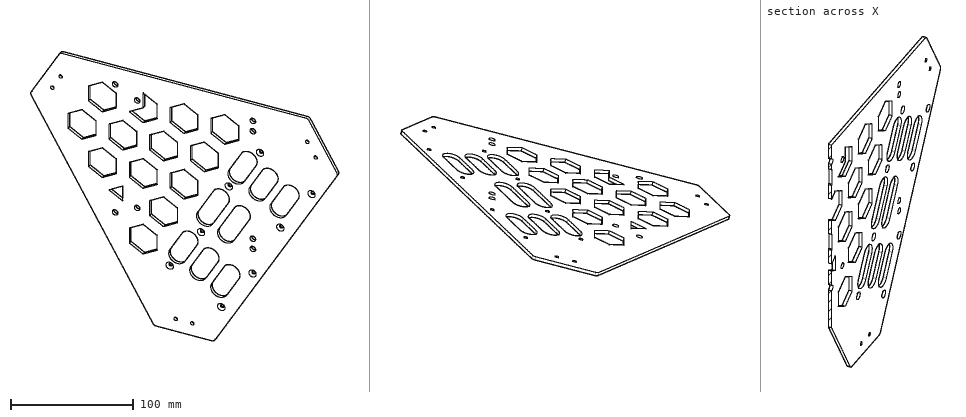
import cadquery as cq
import math

THICKNESS = 3.0
HEIGHT = 241.9
SIDE_DISTANCE = 96.3
CUT_DISTANCE = HEIGHT - SIDE_DISTANCE
CUT_HALF_LENGTH = (2 * SIDE_DISTANCE - CUT_DISTANCE) * math.tan(math.radians(30))
CORNER_RADIUS = 3.0
CORNER_ANGLES = (30, 150, 270)

PAIR_DISTANCE = 133.5
PAIR_SPACING = 15.0
PAIR_DIAMETER = 3.0

HEX_WIDTH = 25.0
HEX_RADIUS = HEX_WIDTH / math.sqrt(3)
HEX_PITCH = 37.0
HEX_ROW_PITCH = HEX_PITCH * math.sqrt(3) / 2
FULL_HEXAGONS = (
    (-2, 2), (0, 2), (1, 2),
    (-2.5, 1), (-1.5, 1), (-0.5, 1), (0.5, 1),
    (-2, 0), (-1, 0), (0, 0),
    (-0.5, -1),
    (-1, -2),
)
NOTCHED_HEXAGON = (-1, 2)
TRIANGLE_WINDOW = (-1.5, -1)

MOUNT_CENTRE_Z = 17.3
MOUNT_LARGE_SPACING = 125.0
MOUNT_SMALL_SPACING = 105.0
MOUNT_DIAMETER = 5.0

SIDE_ANGLE = 60
SLOT_WIDTH = 15.5
SLOT_LENGTH = 37.3
LONG_SLOT_LENGTH = 43.7
SLOT_FIRST_OUT = 30.3
SLOT_PITCH = 22.0
SLOT_ROW_PITCH = 53.7

SCREW_BOARD_PITCH = 107.1
SCREW_ROW_SPACING = 49.5
SCREW_SPACING = 54.0
SCREW_UPPER_ROW_OUT = 34.5
SCREW_LOWER_ROW_OUT = 30.3
SCREW_DIAMETER = 3.0
SCREW_HEAD_DIAMETER = 6.7
SCREW_HEAD_ANGLE = 90


def polar(distance, angle, sideways=0.0):
    """Point at a distance along an angle, then offset sideways to the left of it."""
    a = math.radians(angle)
    x = distance * math.cos(a) - sideways * math.sin(a)
    z = distance * math.sin(a) + sideways * math.cos(a)
    return x, z


def side_point(along, out):
    """Point in the frame of the lower right side."""
    return polar(along, SIDE_ANGLE, -out)


def front_plane():
    """Sketch plane on the front face; its normal points out of the plate to -Y."""
    return cq.Workplane("XZ", origin=(0, -THICKNESS / 2, 0))


def cutter(sketch):
    """Prism through the full thickness from a sketch on the front plane."""
    return sketch.extrude(-THICKNESS)


def make_plate():
    outline = []
    for angle in CORNER_ANGLES:
        for side in (-1, 1):
            outline.append(polar(CUT_DISTANCE, angle, side * CUT_HALF_LENGTH))
    plate = cutter(front_plane().polyline(outline).close())
    return plate.edges("|Y").fillet(CORNER_RADIUS)


def hexagon_centre(column, row):
    return column * HEX_PITCH, row * HEX_ROW_PITCH


def hexagon_corner(cell, angle):
    x, z = hexagon_centre(*cell)
    dx, dz = polar(HEX_RADIUS, angle)
    return x + dx, z + dz


def hexagon_window(cell):
    corners = [hexagon_corner(cell, angle) for angle in range(30, 390, 60)]
    return cutter(front_plane().polyline(corners).close())


def partial_hexagon_window(cell, first_angle, last_angle):
    """Part of a hexagon swept from one corner to another, closed through its centre."""
    corners = [hexagon_corner(cell, angle) for angle in range(first_angle, last_angle + 1, 60)]
    return cutter(front_plane().polyline([hexagon_centre(*cell)] + corners).close())


def cut_honeycomb(plate):
    for cell in FULL_HEXAGONS:
        plate = plate.cut(hexagon_window(cell))
    plate = plate.cut(partial_hexagon_window(NOTCHED_HEXAGON, 210, 450))
    return plate.cut(partial_hexagon_window(TRIANGLE_WINDOW, 90, 150))


def cut_round_holes(plate, points, diameter):
    return plate.cut(cutter(front_plane().pushPoints(points).circle(diameter / 2)))


def corner_pair_points():
    return [
        polar(PAIR_DISTANCE, angle, side * PAIR_SPACING / 2)
        for angle in CORNER_ANGLES
        for side in (-1, 1)
    ]


def mount_points():
    """Both hole squares, lined up on their right-hand holes."""
    right = MOUNT_LARGE_SPACING / 2
    points = []
    for spacing in (MOUNT_LARGE_SPACING, MOUNT_SMALL_SPACING):
        for x in (right - spacing, right):
            for side in (-1, 1):
                points.append((x, MOUNT_CENTRE_Z + side * spacing / 2))
    return points


def cut_slots(plate):
    rows = ((1, 3, SLOT_LENGTH), (0, 2, LONG_SLOT_LENGTH), (-1, 3, SLOT_LENGTH))
    for row, count, length in rows:
        points = [
            side_point(row * SLOT_ROW_PITCH, SLOT_FIRST_OUT + index * SLOT_PITCH)
            for index in range(count)
        ]
        sketch = front_plane().pushPoints(points).slot2D(length, SLOT_WIDTH, SIDE_ANGLE)
        plate = plate.cut(cutter(sketch))
    return plate


def cut_screw_holes(plate):
    points = []
    for board in (-1, 1):
        for row, first_out in ((1, SCREW_UPPER_ROW_OUT), (-1, SCREW_LOWER_ROW_OUT)):
            along = board * SCREW_BOARD_PITCH / 2 + row * SCREW_ROW_SPACING / 2
            points.append(side_point(along, first_out))
            points.append(side_point(along, first_out + SCREW_SPACING))
    return front_plane().add(plate).pushPoints(points).cskHole(
        SCREW_DIAMETER, SCREW_HEAD_DIAMETER, SCREW_HEAD_ANGLE
    )


plate = make_plate()
plate = cut_honeycomb(plate)
plate = cut_round_holes(plate, corner_pair_points(), PAIR_DIAMETER)
plate = cut_round_holes(plate, mount_points(), MOUNT_DIAMETER)
plate = cut_slots(plate)
result = cut_screw_holes(plate)